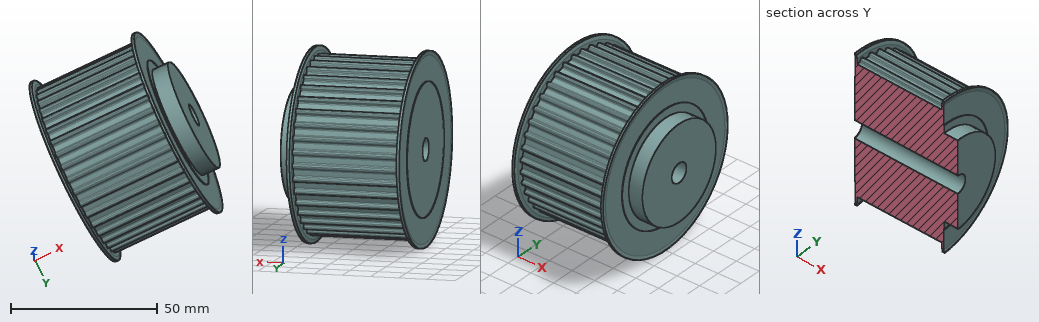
import cadquery as cq
import math

TOOTH_COUNT = 40
BELT_PITCH = 5.0
PITCH_LINE_OFFSET = 0.6
GROOVE_DEPTH = 1.25
GROOVE_FLOOR_WIDTH = 2.5
GROOVE_FLANK_ANGLE = 25.0
ROOT_FILLET = 0.4
TIP_FILLET = 0.6

FLANGED_LENGTH = 40.0
TOTAL_LENGTH = 46.0
HUB_DIAMETER = 40.0
BORE_DIAMETER = 8.0

FLANGE_DIAMETER = 68.0
FLANGE_BEND_DIAMETER = 65.0
CORE_DIAMETER = 47.0
FLANGE_THICKNESS = 1.0
FLANGE_FLARE = 0.25

tip_radius = TOOTH_COUNT * BELT_PITCH / (2 * math.pi) - PITCH_LINE_OFFSET
root_radius = tip_radius - GROOVE_DEPTH
flange_inner_face = FLANGE_FLARE + FLANGE_THICKNESS


def cylinder(diameter, start, end):
    """Cylinder on the X axis between two X positions."""
    return cq.Workplane("YZ").workplane(offset=start).circle(diameter / 2).extrude(end - start)


def flange():
    """Disc at the -X end with its rim flared outwards, revolved about the X axis."""
    rim = FLANGE_DIAMETER / 2
    bend = FLANGE_BEND_DIAMETER / 2
    profile = [
        (FLANGE_FLARE, 0),
        (FLANGE_FLARE, bend),
        (0, rim),
        (FLANGE_THICKNESS, rim),
        (flange_inner_face, bend),
        (flange_inner_face, 0),
    ]
    return cq.Workplane("XZ").polyline(profile).close().revolve(360, (0, 0, 0), (1, 0, 0))


def groove():
    """Cutter for the groove on +Z: floor on the root circle, flanks opening outwards."""
    overshoot = 1.0
    floor_half = GROOVE_FLOOR_WIDTH / 2
    floor_edge = math.sqrt(root_radius**2 - floor_half**2)
    mouth = tip_radius + overshoot
    mouth_half = floor_half + (mouth - floor_edge) * math.tan(math.radians(GROOVE_FLANK_ANGLE))
    return (
        cq.Workplane("YZ")
        .workplane(offset=flange_inner_face)
        .moveTo(-floor_half, floor_edge)
        .threePointArc((0, root_radius), (floor_half, floor_edge))
        .lineTo(mouth_half, mouth)
        .lineTo(-mouth_half, mouth)
        .close()
        .extrude(FLANGED_LENGTH - 2 * flange_inner_face)
    )


def round_edges(body, radius, fillet):
    """Fillet the edges parallel to X that lie at the given radius from the axis."""
    tolerance = 1e-4
    edges = []
    for edge in body.edges("|X").vals():
        center = edge.Center()
        if abs(math.hypot(center.y, center.z) - radius) < tolerance:
            edges.append(edge)
    return body.newObject(edges).fillet(fillet)


def toothed_rim():
    """Cylinder between the flanges with the grooves cut and their edges rounded."""
    rim = cylinder(2 * tip_radius, flange_inner_face, FLANGED_LENGTH - flange_inner_face)
    cutter = groove().val()
    axis_start = cq.Vector(0, 0, 0)
    axis_end = cq.Vector(1, 0, 0)
    pitch_angle = 360 / TOOTH_COUNT
    grooves = [cutter.rotate(axis_start, axis_end, index * pitch_angle) for index in range(TOOTH_COUNT)]
    rim = rim.cut(cq.Workplane(cq.Compound.makeCompound(grooves)))
    rim = round_edges(rim, root_radius, ROOT_FILLET)
    return round_edges(rim, tip_radius, TIP_FILLET)


def core():
    """Cylinder through both flanges, standing out of their flats by the flare."""
    return cylinder(CORE_DIAMETER, 0, FLANGED_LENGTH)


def hub():
    return cylinder(HUB_DIAMETER, FLANGED_LENGTH - flange_inner_face, TOTAL_LENGTH)


def bore():
    return cylinder(BORE_DIAMETER, 0, TOTAL_LENGTH)


near_flange = flange()
far_flange = near_flange.mirror("YZ").translate((FLANGED_LENGTH, 0, 0))
pulley = toothed_rim().union(core()).union(near_flange).union(far_flange).union(hub())
result = pulley.cut(bore())